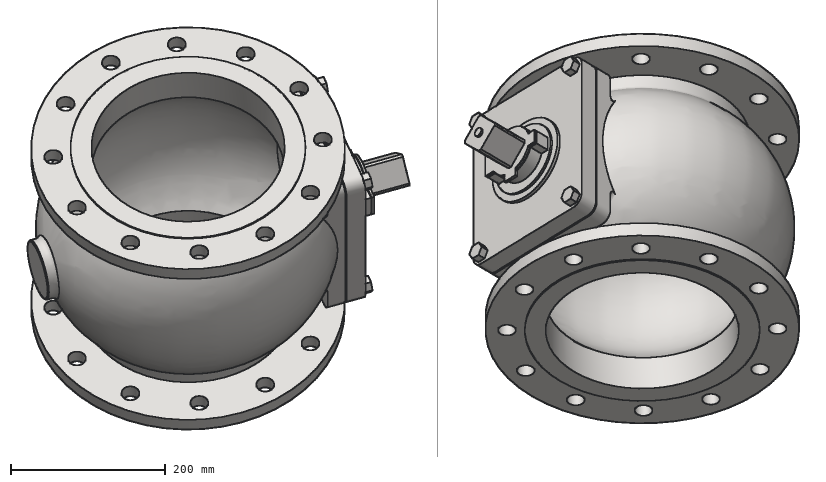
import cadquery as cq
import math

body_length = 330.0
flange_dia = 406.0
flange_thickness = 20.0
raised_face_dia = 304.0
raised_face_height = 2.0
bore_dia = 250.0
neck_dia = 280.0
neck_fillet = 5.0
bulge_dia = 394.0
bulge_arc_radius = 160.0

flange_hole_count = 12
flange_hole_dia = 23.0
bolt_circle_dia = 350.0

wall = (neck_dia - bore_dia) / 2
bulge_arc_offset = bulge_dia / 2 - bulge_arc_radius
flange_top = body_length / 2 - raised_face_height
flange_bottom = flange_top - flange_thickness

boss_dia = 80.0
boss_end = 207.0
boss_chamfer = 1.5
boss_flare_start = 199.5
boss_root_dia = 88.0
boss_root = 190.5

pad_start = 156.0
bonnet_width = 200.0
bonnet_height = 240.0
bonnet_corner_radius = 15.0
pad_fillet = 5.0
pad_thickness = 24.5
gasket_thickness = 1.5
gasket_inset = 0.5
cover_thickness = 26.0
gasket_start = pad_start + pad_thickness
cover_start = gasket_start + gasket_thickness
cover_end = cover_start + cover_thickness

screw_head_flats = 20.0
screw_head_height = 11.0
screw_x = bonnet_width / 2 - bonnet_corner_radius
screw_z = bonnet_height / 2 - bonnet_corner_radius

seat_dia = 120.0
seat_thickness = 4.5
collar_dia = 100.0
collar_thickness = 3.0
gland_dia = 70.0
gland_ear_span = 90.0
gland_ear_width = 20.0
wide_ear_width = 34.0
gland_height = 20.0
stop_plate_gap = 1.0
stop_plate_gap_inset = 0.5
stop_plate_thickness = 3.5
collar_start = cover_end + seat_thickness
gland_start = collar_start + collar_thickness
gap_start = gland_start + gland_height
stop_plate_start = gap_start + stop_plate_gap
stem_start = stop_plate_start + stop_plate_thickness

stem_flats = 42.0
stem_turned_dia = 55.0
pip_dia = 12.0
pip_height = 3.0
overall_depth = 504.68
stem_tip = overall_depth - boss_end
stem_length = stem_tip - pip_height - stem_start


def cylinder_z(diameter, z_start, z_end):
    return cq.Workplane("XY", origin=(0, 0, z_start)).circle(diameter / 2).extrude(z_end - z_start)


def plane_at_y(y):
    """XZ workplane at the given Y whose extrusions grow toward +Y and whose local Y is -Z."""
    return cq.Workplane(cq.Plane(origin=(0, y, 0), xDir=(1, 0, 0), normal=(0, 1, 0)))


def disc_y(diameter, y_start, thickness):
    return plane_at_y(y_start).circle(diameter / 2).extrude(thickness)


def block_y(width, height, y_start, thickness):
    return plane_at_y(y_start).rect(width, height).extrude(thickness)


def barrel(end_radius, arc_radius, half_length):
    """Straight necks joined by an arc that bulges out around the mid plane."""
    arc_end_z = math.sqrt(arc_radius ** 2 - (end_radius - bulge_arc_offset) ** 2)
    return (
        cq.Workplane("XZ")
        .moveTo(0, -half_length)
        .lineTo(end_radius, -half_length)
        .lineTo(end_radius, -arc_end_z)
        .threePointArc((bulge_arc_offset + arc_radius, 0), (end_radius, arc_end_z))
        .lineTo(end_radius, half_length)
        .lineTo(0, half_length)
        .close()
        .revolve(360, (0, 0, 0), (0, 1, 0))
    )


def make_shell():
    """Solid barrel with the corners between the necks and the bulge rounded."""
    shell = barrel(neck_dia / 2, bulge_arc_radius, flange_bottom)
    box_top = flange_bottom - neck_fillet
    between_neck_ends = cq.selectors.BoxSelector(
        (-bulge_dia, -bulge_dia, -box_top), (bulge_dia, bulge_dia, box_top)
    )
    return shell.edges(between_neck_ends).edges("%CIRCLE").fillet(neck_fillet)


def make_flange():
    flange = cylinder_z(flange_dia, flange_bottom, flange_top)
    flange = flange.union(cylinder_z(raised_face_dia, flange_top, body_length / 2))
    holes = (
        cq.Workplane("XY", origin=(0, 0, flange_bottom))
        .polarArray(bolt_circle_dia / 2, 180 / flange_hole_count, 360, flange_hole_count)
        .circle(flange_hole_dia / 2)
        .extrude(flange_thickness)
    )
    return flange.cut(holes)


def make_boss():
    """Chamfered round boss that flares out along an arc where it meets the bulge."""
    return (
        cq.Workplane("XY")
        .lineTo(0, -boss_end)
        .lineTo(boss_dia / 2 - boss_chamfer, -boss_end)
        .lineTo(boss_dia / 2, -boss_end + boss_chamfer)
        .lineTo(boss_dia / 2, -boss_flare_start)
        .tangentArcPoint((boss_root_dia / 2, -boss_root), relative=False)
        .lineTo(boss_root_dia / 2, 0)
        .close()
        .revolve(360, (0, 0, 0), (0, 1, 0))
    )


def rounded_plate(y_start, thickness, inset=0.0):
    plate = block_y(bonnet_width - 2 * inset, bonnet_height - 2 * inset, y_start, thickness)
    return plate.edges("|Y").fillet(bonnet_corner_radius - inset)


def add_pad(shell):
    """Join the bonnet pad to the bulge and round the corner between them."""
    joined = shell.union(rounded_plate(pad_start, pad_thickness))
    tolerance = 0.1
    pad_back = cq.selectors.BoxSelector(
        (-bonnet_width, pad_start - tolerance, -bonnet_height),
        (bonnet_width, pad_start + tolerance, bonnet_height),
    )
    return joined.edges(pad_back).edges("not(%LINE or %CIRCLE)").fillet(pad_fillet)


def make_cavity():
    """Bore and bulged chamber, stopped by the flat back of the bonnet pad."""
    cavity = barrel(bore_dia / 2, bulge_arc_radius - wall, body_length / 2)
    return cavity.cut(block_y(bulge_dia, body_length, pad_start, bulge_dia))


def make_screw_heads():
    across_corners = screw_head_flats / math.cos(math.radians(30))
    return (
        plane_at_y(cover_end)
        .rect(2 * screw_x, 2 * screw_z, forConstruction=True)
        .vertices()
        .polygon(6, across_corners)
        .extrude(screw_head_height)
    )


def eared_disc(y_start, thickness, inset=0.0):
    """Round disc with one square-ended ear on the -X side and one on the +X side."""
    disc = disc_y(gland_dia - 2 * inset, y_start, thickness)
    reach = gland_ear_span / 2 - inset
    for side, ear_width in ((-1, gland_ear_width), (1, wide_ear_width)):
        ear = block_y(reach, ear_width - 2 * inset, y_start, thickness)
        disc = disc.union(ear.translate((side * reach / 2, 0, 0)))
    return disc


def make_gland():
    gland = disc_y(seat_dia, cover_end, seat_thickness)
    gland = gland.union(disc_y(collar_dia, collar_start, collar_thickness))
    gland = gland.union(eared_disc(gland_start, gland_height))
    return gland.union(eared_disc(gap_start, stop_plate_gap, stop_plate_gap_inset))


def make_stop_plate():
    """Plate with the outline of the gland and a third ear toward -Z."""
    plate = eared_disc(stop_plate_start, stop_plate_thickness)
    reach = gland_ear_span / 2
    lower_ear = block_y(gland_ear_width, reach, stop_plate_start, stop_plate_thickness)
    return plate.union(lower_ear.translate((0, 0, -reach / 2)))


def make_stem():
    square = block_y(stem_flats, stem_flats, stem_start, stem_length)
    square = square.rotate((0, 0, 0), (0, 1, 0), 45)
    stem = square.intersect(disc_y(stem_turned_dia, stem_start, stem_length))
    return stem.union(disc_y(pip_dia, stem_start + stem_length, pip_height))


upper_flange = make_flange()
body = add_pad(make_shell())
body = body.union(make_boss())
body = body.union(upper_flange).union(upper_flange.mirror("XY"))
body = body.cut(make_cavity())
body = body.union(rounded_plate(gasket_start, gasket_thickness, gasket_inset))
body = body.union(rounded_plate(cover_start, cover_thickness))
for detail in (make_screw_heads(), make_gland(), make_stop_plate(), make_stem()):
    body = body.union(detail)

result = body